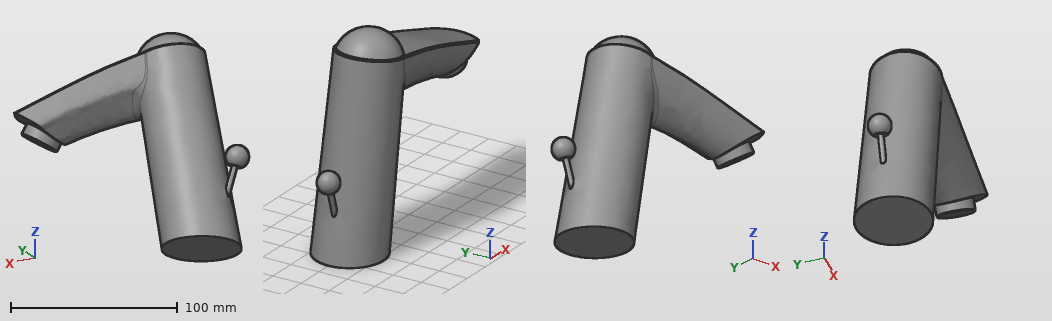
import cadquery as cq
import math

lean = 10.0
body_length = 126.0
base_radius = 23.7
top_radius = 21.9
rim_bevel = 0.9
base_overrun = 7.7
trim_size = 153.1

dome_radius = 21.9
dome_sink = 7.7

spout_stations = [
    (21.7, 123.0, 124.2, 90.2, 21.5),
    (46.0, 118.5, 120.7, 88.7, 20.2),
    (71.8, 112.0, 114.8, 85.6, 18.8),
    (94.8, 105.0, 107.8, 80.5, 18.0),
    (125.5, 95.5, 98.3, 72.9, 17.1),
]
edge_bevel = 1.0
root_fillet = 6.1
root_box_low = (18.4, -22.2, 87.3)
root_box_high = (39.8, 22.2, 119.5)

nose_x = 120.5
nose_z = 98.3
nose_slope = 33.0
nose_radius = 67.4
nose_half_length = 153.1

outlet_diameter = 23.9
outlet_tilt = 30.5
outlet_x = 109.3
outlet_z = 83.3
outlet_length = 10.7
outlet_chamfer = 0.6

ball_x = -24.0
ball_z = 54.5
ball_radius = 7.2
ball_flat_distance = 6.0
rod_diameter = 3.5
rod_tilt = 17.0
rod_length = 33.7


def tilted_plane(x, z, angle):
    """Plane at (x, 0, z) whose normal leans from +Z toward +X by the angle in degrees."""
    a = math.radians(angle)
    return cq.Plane(
        origin=(x, 0, z),
        xDir=(math.cos(a), 0, -math.sin(a)),
        normal=(math.sin(a), 0, math.cos(a)),
    )


def make_body():
    radius_slope = (base_radius - top_radius) / body_length
    overrun_radius = base_radius + radius_slope * base_overrun
    cone = (
        cq.Workplane(tilted_plane(0, 0, lean))
        .workplane(offset=-base_overrun)
        .circle(overrun_radius)
        .workplane(offset=body_length + base_overrun)
        .circle(top_radius)
        .loft(ruled=True)
        .faces(">Z")
        .chamfer(rim_bevel)
    )
    ground = cq.Workplane("XY").box(trim_size, trim_size, trim_size, centered=(True, True, False))
    return cone.cut(ground.translate((0, 0, -trim_size)))


def make_dome():
    axis_plane = cq.Workplane(tilted_plane(0, 0, lean))
    ball = axis_plane.workplane(offset=body_length - dome_sink).sphere(dome_radius)
    rim_radius = math.sqrt(dome_radius**2 - dome_sink**2)
    core = (
        axis_plane.workplane(offset=body_length - dome_sink)
        .circle(rim_radius)
        .extrude(dome_radius)
    )
    return ball.intersect(core)


def spout_section(x, edge_z, crown_z, under_z, half_width):
    """Closed section with a crowned top, bevelled edges and a half-elliptical underside."""
    bevel_y = half_width - edge_bevel
    bevel_z = edge_z + edge_bevel
    depth = edge_z - under_z
    diagonal = math.sqrt(0.5)
    quarter_y = half_width * diagonal
    quarter_z = edge_z - depth * diagonal
    underside = [
        (-quarter_y, quarter_z),
        (0, under_z),
        (quarter_y, quarter_z),
        (half_width, edge_z),
    ]
    section = (
        cq.Workplane("YZ", origin=(x, 0, 0))
        .moveTo(half_width, edge_z)
        .lineTo(bevel_y, bevel_z)
        .threePointArc((0, crown_z), (-bevel_y, bevel_z))
        .lineTo(-half_width, edge_z)
        .spline(underside, tangents=[(0, -1), (0, 1)], includeCurrent=True)
        .close()
    )
    return section.val()


def make_spout():
    sections = [spout_section(*station) for station in spout_stations]
    blank = cq.Workplane(cq.Solid.makeLoft(sections))
    slope = math.radians(nose_slope)
    axis_x = nose_x - nose_radius * math.sin(slope)
    axis_z = nose_z + nose_radius * math.cos(slope)
    nose = (
        cq.Workplane(tilted_plane(axis_x, axis_z, 90 - nose_slope))
        .circle(nose_radius)
        .extrude(nose_half_length, both=True)
    )
    return blank.intersect(nose)


def make_outlet():
    return (
        cq.Workplane(tilted_plane(outlet_x, outlet_z, -outlet_tilt))
        .circle(outlet_diameter / 2)
        .extrude(outlet_length)
        .faces("<Z")
        .chamfer(outlet_chamfer)
    )


def make_knob():
    rod_plane = tilted_plane(ball_x, ball_z, -rod_tilt)
    ball = cq.Workplane(rod_plane).sphere(ball_radius)
    below_flat = (
        cq.Workplane(rod_plane)
        .workplane(offset=-ball_flat_distance)
        .circle(ball_radius)
        .extrude(-ball_radius)
    )
    rod = cq.Workplane(rod_plane).circle(rod_diameter / 2).extrude(-rod_length)
    return ball.cut(below_flat).union(rod)


faucet = make_body().union(make_spout())
faucet = faucet.edges(cq.selectors.BoxSelector(root_box_low, root_box_high)).fillet(root_fillet)
result = faucet.union(make_dome()).union(make_outlet()).union(make_knob())